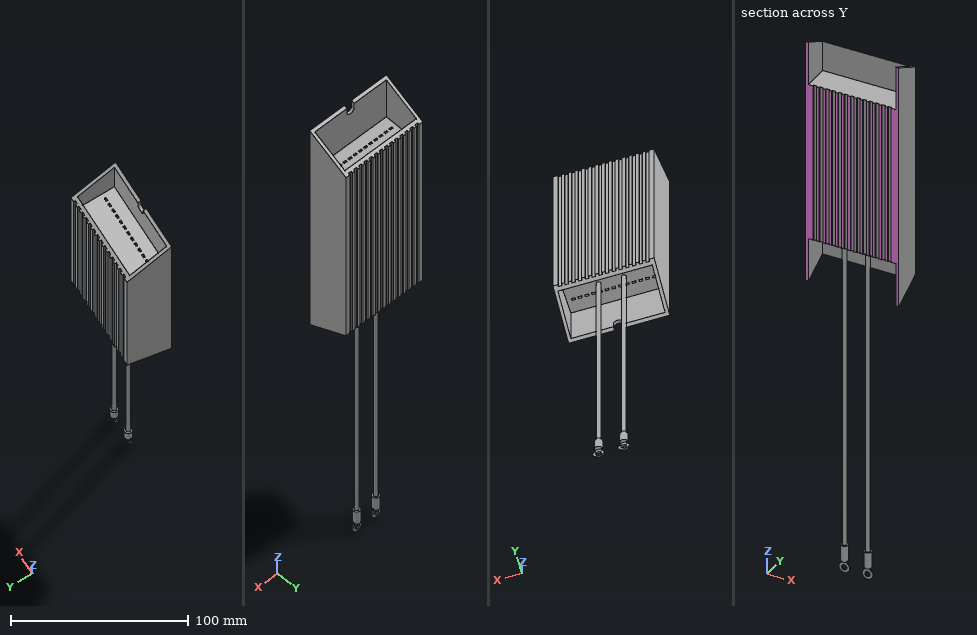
import cadquery as cq

total_height = 355.7

housing_depth = 30.0
housing_height = 170.0
miter_rise = 15.5
thin_wall = 2.0
back_wall = 3.2
housing_bottom = total_height - housing_height

notch_width = 5.5
notch_depth = 8.0

groove_width = 2.0
rib_pitch = 2 * groove_width
groove_depth = 1.0
groove_count = 14
corner_rib_width = 3.1
channel_count = groove_count - 1
channel_y = 9.5
housing_width = (groove_count - 1) * rib_pitch + groove_width + 2 * corner_rib_width
cavity_width = housing_width - 2 * thin_wall
cavity_depth = housing_depth - thin_wall - back_wall

filling_recess = 17.8
filling_bottom = housing_bottom + miter_rise + filling_recess
filling_top = total_height - miter_rise - filling_recess

cable_spacing = 15.0
cable_diameter = 2.9
cable_y = housing_depth / 2
sleeve_diameter = 5.0
sleeve_length = 10.5
sleeve_bottom = 8.2
ring_diameter = 7.0
ring_hole_diameter = 3.2
lug_thickness = 1.0
lug_neck_width = 3.5
ring_center_z = ring_diameter / 2


def upright_box(width, depth, bottom, top, y_start):
    """Box centred on X that starts at y_start and spans bottom to top."""
    return cq.Workplane("XY", origin=(0, y_start, bottom)).box(
        width, depth, top - bottom, centered=(True, False, False)
    )


def upright_rod(diameter, bottom, top, x):
    """Round rod on the cable line, from bottom to top."""
    return cq.Workplane("XY", origin=(x, cable_y, bottom)).circle(diameter / 2).extrude(top - bottom)


def row_positions(count):
    """X positions of a centred row at the rib pitch."""
    return [(i - (count - 1) / 2) * rib_pitch for i in range(count)]


def make_housing():
    side_outline = [
        (0, housing_bottom),
        (housing_depth, housing_bottom + miter_rise),
        (housing_depth, total_height - miter_rise),
        (0, total_height),
    ]
    body = (
        cq.Workplane("YZ")
        .polyline(side_outline)
        .close()
        .extrude(housing_width / 2, both=True)
    )
    body = body.cut(upright_box(cavity_width, cavity_depth, housing_bottom, total_height, thin_wall))
    for x in row_positions(groove_count):
        groove = upright_box(
            groove_width, groove_depth, housing_bottom, total_height, housing_depth - groove_depth
        )
        body = body.cut(groove.translate((x, 0, 0)))
    for edge_z, inward in ((housing_bottom, 1), (total_height, -1)):
        body = body.cut(make_notch(edge_z, inward))
    return body


def make_notch(edge_z, inward):
    """Round-ended cutter through the front wall, reaching inward from the edge at edge_z."""
    radius = notch_width / 2
    straight_z = edge_z + inward * (notch_depth - radius)
    return (
        cq.Workplane("XZ")
        .moveTo(-radius, edge_z)
        .lineTo(-radius, straight_z)
        .threePointArc((0, edge_z + inward * notch_depth), (radius, straight_z))
        .lineTo(radius, edge_z)
        .close()
        .extrude(-thin_wall)
    )


def make_filling():
    filling = upright_box(cavity_width, cavity_depth, filling_bottom, filling_top, thin_wall)
    for x in row_positions(channel_count):
        channel = upright_box(groove_width, groove_depth, filling_bottom, filling_top, channel_y)
        filling = filling.cut(channel.translate((x, 0, 0)))
    return filling


def make_cable(x):
    sleeve_top = sleeve_bottom + sleeve_length
    cable = upright_rod(cable_diameter, sleeve_bottom, filling_bottom, x)
    sleeve = upright_rod(sleeve_diameter, sleeve_bottom, sleeve_top, x)
    ring = (
        cq.Workplane("XZ", origin=(x, cable_y, ring_center_z))
        .circle(ring_diameter / 2)
        .extrude(lug_thickness / 2, both=True)
    )
    lug_front = cable_y - lug_thickness / 2
    neck = upright_box(lug_neck_width, lug_thickness, ring_center_z, sleeve_bottom, lug_front)
    hole = (
        cq.Workplane("XZ", origin=(x, cable_y, ring_center_z))
        .circle(ring_hole_diameter / 2)
        .extrude(lug_thickness, both=True)
    )
    lug = ring.union(neck.translate((x, 0, 0))).cut(hole)
    return cable.union(sleeve).union(lug)


result = make_housing().union(make_filling())
for side in (-1, 1):
    result = result.union(make_cable(side * cable_spacing / 2))